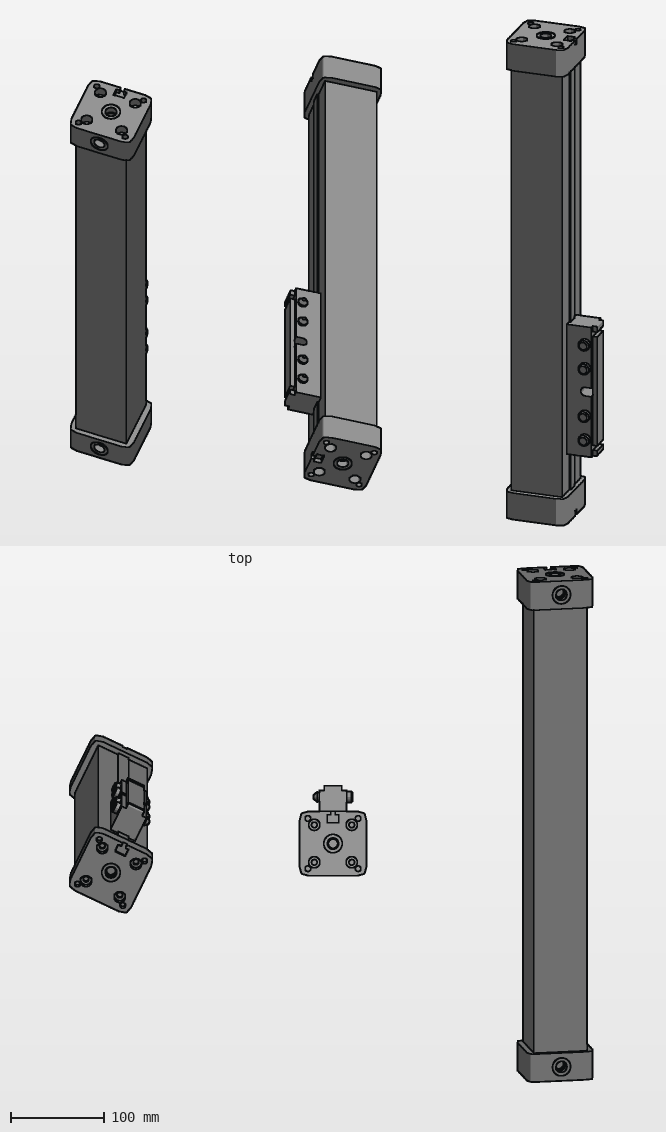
import cadquery as cq
import math


length = 550.0
cap_width = 72.0
cap_depth = 69.5
cap_height = 31.0
cap_corner_setback = 10.0
cap_corner_slant = 15.0
cap_corner_radius = 3.0
tube_width = 58.5
band_width = 12.0
band_height = 1.5

port_face_diameter = 20.0
port_face_depth = 0.5
port_mouth_diameter = 12.0
port_diameter = 10.0
port_mouth_depth = 9.0
port_depth = 14.0
screw_spacing = 40.0
screw_head_diameter = 12.0
screw_head_depth = 11.0
screw_socket_diameter = 6.0
screw_socket_depth = 16.5
corner_hole_spacing = 54.0
corner_hole_diameter = 6.0
corner_hole_depth = 11.0

recess_width = 12.0
recess_floor_y = 22.5
recess_neck_width = 5.0
recess_depth = 5.5

carriage_centre_z = 150.0
carriage_length = 150.0
carriage_width = 29.0
carriage_top_y = 57.0
slot_width = 10.0
slot_depth = 12.0
rail_top_y = 62.0
rail_width = 19.0
rail_end_length = 6.5
rail_gap = 5.5
rail_corner_radius = 1.5

clamp_spacing = 27.5
clamp_positions = (-2, -1, 1, 2)
clamp_y = 50.0
clamp_neck_diameter = 10.0
clamp_neck_length = 2.0
clamp_head_diameter = 11.0
clamp_tip_diameter = 4.0
clamp_head_length = 4.5
clamp_nut_diameter = 12.0
clamp_nut_length = 6.5
clamp_nut_chamfer = 1.5

band_top_y = tube_width / 2 + band_height


def box(x_range, y_range, z_range):
    """Axis-aligned block between the given limits."""
    (x0, x1), (y0, y1), (z0, z1) = x_range, y_range, z_range
    return cq.Workplane("XY").box(x1 - x0, y1 - y0, z1 - z0, centered=False).translate((x0, y0, z0))


def centred(width):
    """Limits of a width centred on zero."""
    return (-width / 2, width / 2)


def cap_blank():
    """Bottom end cap: each corner has two slanted flats meeting in a small round."""
    slant = math.tan(math.radians(cap_corner_slant))
    inset = cap_corner_setback * slant / (1 + slant)
    half_x = cap_width / 2
    half_y = cap_depth / 2
    setback = cap_corner_setback
    corners = []
    for sx, sy in ((1, 1), (-1, 1), (-1, -1), (1, -1)):
        side_end = (sx * half_x, sy * (half_y - setback))
        apex = (sx * (half_x - inset), sy * (half_y - inset))
        face_end = (sx * (half_x - setback), sy * half_y)
        corners += [side_end, apex, face_end] if sx == sy else [face_end, apex, side_end]
    cap = cq.Workplane("XY").polyline(corners).close().extrude(cap_height)
    reach = setback / 2
    for sx in (1, -1):
        for sy in (1, -1):
            x = sx * half_x
            y = sy * half_y
            near_apex = cq.selectors.BoxSelector(
                (x - reach, y - reach, 0), (x + reach, y + reach, cap_height)
            )
            cap = cap.edges("|Z").edges(near_apex).fillet(cap_corner_radius)
    return cap


def port_cutter(face):
    """Cutter for a stepped port in a shallow round seat, sunk into the given plane at its origin."""
    cutter = face.circle(port_face_diameter / 2).extrude(-port_face_depth)
    cutter = cutter.union(face.circle(port_mouth_diameter / 2).extrude(-port_mouth_depth))
    return cutter.union(face.circle(port_diameter / 2).extrude(-port_depth))


def end_cap():
    """Bottom end cap with its ports, screw holes and T-shaped recess."""
    end_face = cq.Workplane("XY").transformed(rotate=(180, 0, 0))
    side_face = cq.Workplane("XZ", origin=(0, -cap_depth / 2, cap_height / 2))
    screws = end_face.rect(screw_spacing, screw_spacing, forConstruction=True).vertices()
    corner_holes = end_face.rect(corner_hole_spacing, corner_hole_spacing, forConstruction=True).vertices()
    recess = box(centred(recess_width), (recess_floor_y, band_top_y), (0, recess_depth))
    neck = box(centred(recess_neck_width), (band_top_y, cap_depth / 2), (0, recess_depth))
    return (
        cap_blank()
        .cut(port_cutter(end_face))
        .cut(port_cutter(side_face))
        .cut(screws.circle(screw_head_diameter / 2).extrude(-screw_head_depth))
        .cut(screws.circle(screw_socket_diameter / 2).extrude(-screw_socket_depth))
        .cut(corner_holes.circle(corner_hole_diameter / 2).extrude(-corner_hole_depth))
        .cut(recess)
        .cut(neck)
    )


def make_housing():
    """Tube with its sealing band and an end cap at each end."""
    span = (cap_height, length - cap_height)
    tube = box(centred(tube_width), centred(tube_width), span)
    band = box(centred(band_width), (tube_width / 2, band_top_y), span)
    bottom_cap = end_cap()
    top_cap = bottom_cap.mirror("XY").translate((0, 0, length))
    return tube.union(band).union(bottom_cap).union(top_cap)


def clamp_screw():
    """Clamp screw through the carriage: tapered head on -X, round nut on +X."""
    neck_end = carriage_width / 2 + clamp_neck_length
    tip = neck_end + clamp_head_length
    nut_end = carriage_width / 2 + clamp_nut_length
    profile = [
        (-tip, 0),
        (-tip, clamp_tip_diameter / 2),
        (-neck_end, clamp_head_diameter / 2),
        (-neck_end, clamp_neck_diameter / 2),
        (0, clamp_neck_diameter / 2),
        (0, clamp_nut_diameter / 2),
        (nut_end - clamp_nut_chamfer, clamp_nut_diameter / 2),
        (nut_end, clamp_nut_diameter / 2 - clamp_nut_chamfer),
        (nut_end, 0),
    ]
    return cq.Workplane("XY").polyline(profile).close().revolve(360, (0, 0, 0), (1, 0, 0))


def rail():
    """Rail along the outer face of the carriage, parted by a gap near each end."""
    span = centred(carriage_length)
    strip = box(centred(rail_width), (carriage_top_y, rail_top_y), span)
    strip = strip.edges(">Y and |X").fillet(rail_corner_radius)
    for side in (1, -1):
        gap_centre = side * (carriage_length / 2 - rail_end_length - rail_gap / 2)
        gap = box(centred(rail_width), (carriage_top_y, rail_top_y), centred(rail_gap))
        strip = strip.cut(gap.translate((0, 0, gap_centre)))
    return strip


def make_carriage():
    """Carriage block with its cross slot, rail, clamp screws and clearance for the band."""
    span = centred(carriage_length)
    block = box(centred(carriage_width), (tube_width / 2, carriage_top_y), span)
    band_groove = box(centred(band_width), (tube_width / 2, band_top_y), span)
    slot_end_y = carriage_top_y - slot_depth + slot_width / 2
    slot = box(centred(carriage_width), (slot_end_y, carriage_top_y), centred(slot_width))
    slot_end = (
        cq.Workplane("YZ", origin=(-carriage_width / 2, slot_end_y, 0))
        .circle(slot_width / 2)
        .extrude(carriage_width)
    )
    carriage = block.cut(band_groove).cut(slot).cut(slot_end).union(rail())
    for position in clamp_positions:
        carriage = carriage.union(clamp_screw().translate((0, clamp_y, position * clamp_spacing)))
    return carriage.translate((0, 0, carriage_centre_z))


housing = make_housing()
carriage = make_carriage()
result = cq.Compound.makeCompound([housing.val(), carriage.val()])